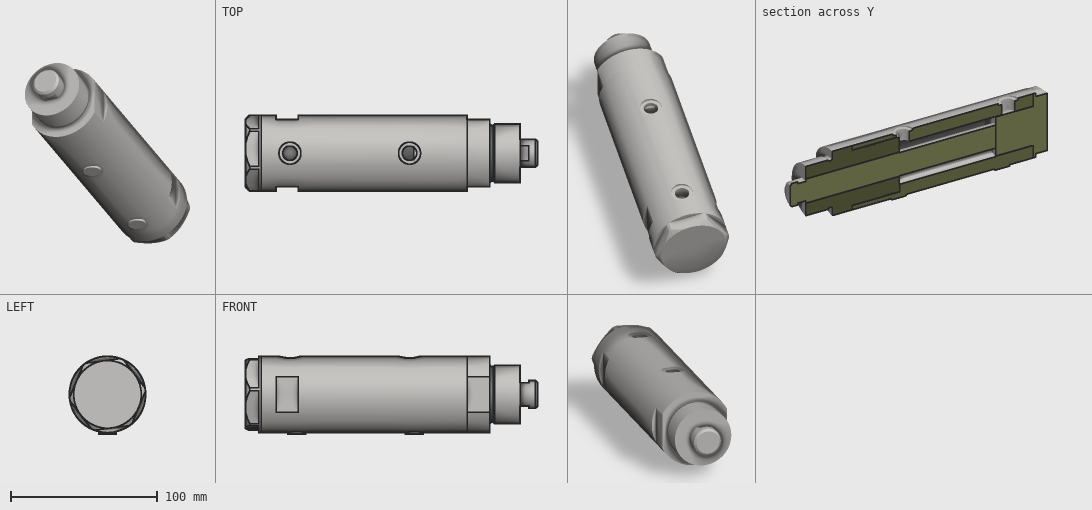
import cadquery as cq
import math

body_radius = 26.0
across_flats = 46.0

hex_length = 9.0
collar_length = 2.0
hex_turn = 7.5
cap_face_radius = across_flats / 2
cap_chamfer = body_radius - cap_face_radius
bore_radius = 16.0
cap_spigot_end = 40.0

housing_start = hex_length + collar_length
housing_end = 151.0
flat_start = 21.0
flat_end = 36.0

head_spigot_start = 114.6
head_spigot_radius = 22.0
head_flange_end = 166.5
nose_radius = 20.0
nose_end = 187.0
relief_radius = 19.0
relief_fillet = 1.2
relief_end = 168.9
relief_chamfer = nose_radius - relief_radius

port_positions = (30.4, 111.8)
port_radius = 4.9
spotface_radius = 7.5
spotface_depth = 1.5

stub_positions = (35.0, 115.0)
stub_radius = 6.0
stub_height = 1.1

rod_radius = 9.5
rod_end = 199.02
rod_chamfer = 1.5
rod_flat_end = 193.0
rod_across_flats = 16.0


def x_cylinder(radius, start, end):
    """Solid cylinder on the X axis between two x positions."""
    return cq.Workplane("YZ", origin=(start, 0, 0)).circle(radius).extrude(end - start)


def z_cylinder(radius, x, bottom, top):
    """Solid upright cylinder centred at y = 0."""
    return cq.Workplane("XY", origin=(x, 0, bottom)).circle(radius).extrude(top - bottom)


def blocks_beside_flats(start, end, gap, direction):
    """Pair of blocks lying outside two parallel flats that are `gap` apart along Y or Z."""
    length = end - start
    size = 2 * body_radius
    offset = (gap + size) / 2
    block = cq.Workplane("XY").box(length, size, size)
    middle = (start + end) / 2
    if direction == "Y":
        return [block.translate((middle, side * offset, 0)) for side in (-1, 1)]
    return [block.translate((middle, 0, side * offset)) for side in (-1, 1)]


def make_cap():
    corner_diameter = across_flats / math.cos(math.pi / 6)
    hexagon = (
        cq.Workplane("YZ")
        .polygon(6, corner_diameter)
        .extrude(hex_length)
        .rotate((0, 0, 0), (1, 0, 0), -hex_turn)
    )
    envelope = x_cylinder(body_radius, 0, hex_length).faces("<X").chamfer(cap_chamfer)
    collar = x_cylinder(body_radius, hex_length, housing_start)
    spigot = x_cylinder(bore_radius, housing_start, cap_spigot_end)
    return hexagon.intersect(envelope).union(collar).union(spigot)


def make_housing():
    housing = x_cylinder(body_radius, housing_start, housing_end)
    for x in stub_positions:
        housing = housing.union(z_cylinder(stub_radius, x, -body_radius - stub_height, -bore_radius))

    for block in blocks_beside_flats(flat_start, flat_end, across_flats, "Y"):
        housing = housing.cut(block)

    for x in port_positions:
        spotface_floor = body_radius - spotface_depth
        housing = housing.cut(z_cylinder(spotface_radius, x, spotface_floor, body_radius))
        housing = housing.cut(z_cylinder(port_radius, x, 0, body_radius))

    housing = housing.cut(x_cylinder(bore_radius, housing_start, head_spigot_start))
    return housing.cut(x_cylinder(head_spigot_radius, head_spigot_start, housing_end))


def make_front_head():
    fillet_mid = relief_fillet * (1 - math.sqrt(0.5))
    head = (
        cq.Workplane("XY")
        .moveTo(head_spigot_start, rod_radius)
        .lineTo(head_spigot_start, head_spigot_radius)
        .lineTo(housing_end, head_spigot_radius)
        .lineTo(housing_end, body_radius)
        .lineTo(head_flange_end, body_radius)
        .lineTo(head_flange_end, relief_radius + relief_fillet)
        .threePointArc(
            (head_flange_end + fillet_mid, relief_radius + fillet_mid),
            (head_flange_end + relief_fillet, relief_radius),
        )
        .lineTo(relief_end, relief_radius)
        .lineTo(relief_end + relief_chamfer, nose_radius)
        .lineTo(nose_end, nose_radius)
        .lineTo(nose_end, rod_radius)
        .close()
        .revolve(360, (0, 0, 0), (1, 0, 0))
    )
    for block in blocks_beside_flats(housing_end, head_flange_end, across_flats, "Y"):
        head = head.cut(block)
    return head


def make_rod():
    rod = x_cylinder(rod_radius, cap_spigot_end, rod_end).faces(">X").chamfer(rod_chamfer)
    for block in blocks_beside_flats(nose_end, rod_flat_end, rod_across_flats, "Z"):
        rod = rod.cut(block)
    return rod


cap = make_cap()
housing = make_housing()
front_head = make_front_head()
rod = make_rod()

result = cq.Compound.makeCompound([cap.val(), housing.val(), front_head.val(), rod.val()])